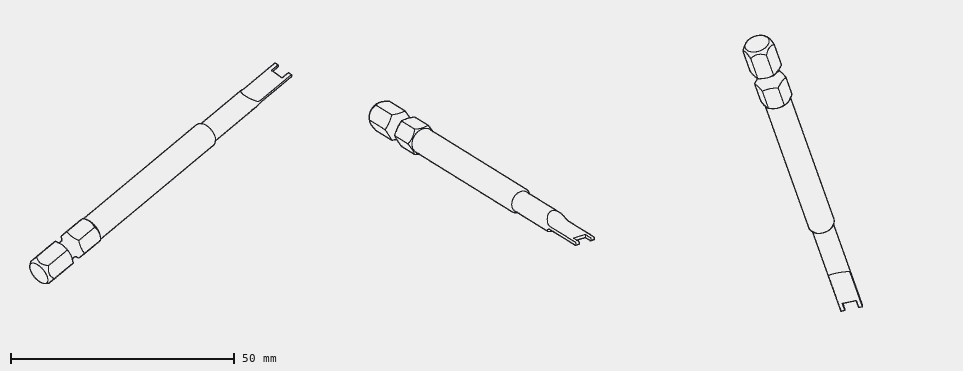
import cadquery as cq
import math

length = 80.0

hex_flats = 6.3
hex_circumradius = hex_flats / 2 / math.cos(math.radians(30))
hex_length = 17.0
end_face_radius = 2.8
end_chamfer_length = 1.3
shoulder_chamfer_length = 0.6

groove_start = 7.4
groove_end = 11.1
groove_center = (groove_start + groove_end) / 2
groove_floor_radius = 2.3

shank_radius = 6.0 / 2
neck_radius = 5.0 / 2

step_start = 54.2
step_arc_radius = 1.0
step_arc_center = neck_radius + step_arc_radius
step_length = math.sqrt(step_arc_radius**2 - (step_arc_center - shank_radius) ** 2)
step_end = step_start + step_length

blade_half_thickness = 0.8 / 2
taper_start = 67.1
taper_end = taper_start + neck_radius - blade_half_thickness
taper_fillet_radius = 1.6
tip_fillet_radius = 0.3

slot_width = 3.2
slot_depth = 2.2


def revolve_about_y(profile):
    """Revolve an outline, drawn as (radius, Y), around the Y axis."""
    return profile.close().revolve(360, (0, 0, 0), (0, 1, 0))


def make_hex_drive():
    """Hexagon with conical chamfers on both ends and a rounded retaining groove."""
    hexagon = cq.Workplane("XZ").polygon(6, 2 * hex_circumradius).extrude(-hex_length)
    envelope = revolve_about_y(
        cq.Workplane("XY")
        .lineTo(end_face_radius, 0)
        .lineTo(hex_circumradius, end_chamfer_length)
        .lineTo(hex_circumradius, groove_start)
        .threePointArc((groove_floor_radius, groove_center), (hex_circumradius, groove_end))
        .lineTo(hex_circumradius, hex_length - shoulder_chamfer_length)
        .lineTo(shank_radius, hex_length)
        .lineTo(0, hex_length)
    )
    return hexagon.intersect(envelope)


def make_shank():
    """Round shank with a concave step down to the neck."""
    return revolve_about_y(
        cq.Workplane("XY")
        .moveTo(0, hex_length)
        .lineTo(shank_radius, hex_length)
        .lineTo(shank_radius, step_start)
        .radiusArc((neck_radius, step_end), -step_arc_radius)
        .lineTo(neck_radius, length)
        .lineTo(0, length)
    )


def make_blade_cut(side):
    """Material removed above (side = 1) or below (side = -1) the flat blade."""
    blade_face = side * blade_half_thickness
    taper_edge = cq.selectors.NearestToPointSelector((0, taper_end, blade_face))
    return (
        cq.Workplane("YZ")
        .moveTo(taper_start, side * neck_radius)
        .lineTo(taper_end, blade_face)
        .lineTo(length, blade_face)
        .lineTo(length, side * neck_radius)
        .close()
        .extrude(2 * neck_radius, both=True)
        .edges(taper_edge)
        .fillet(taper_fillet_radius)
    )


def make_tip_slot():
    """Slot through the blade that leaves two prongs; half of the box lies past the tip."""
    slot = cq.Workplane("XY").box(slot_width, 2 * slot_depth, 2 * neck_radius)
    return slot.translate((0, length, 0))


bit = make_hex_drive().union(make_shank())
for side in (1, -1):
    bit = bit.cut(make_blade_cut(side))
bit = bit.cut(make_tip_slot())

result = bit.faces(">Y").edges("|X").fillet(tip_fillet_radius)